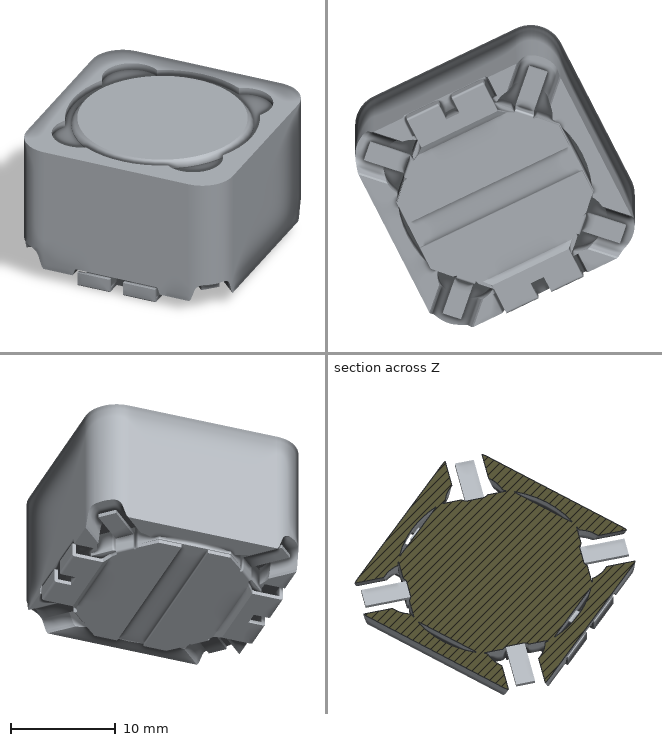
import cadquery as cq
import math

width = 21.52
half_width = width / 2
top_z = 13.82
corner_radius = 3.18

sheet = 0.37
base_bottom_z = 2 * sheet
body_bottom_z = 1.03

recess_radius = 9.3
recess_depth = 0.7
lobe_offset = 5.83
lobe_radius = 2.86
drum_radius = 8.72
drum_bevel_width = 0.58
drum_bevel_height = 0.65

arch_top_z = 2.93
arch_flare_z = 1.27
arch_mouth_half_width = 2.22
arch_foot_half_width = 2.09
arch_crown_half_width = 1.61
arch_fillet = 0.86

base_half_width = 8.7
base_side_y = 3.65
shoulder_long = 7.1
shoulder_short = 5.25

notch_top_z = 1.76
notch_top_half_width = 4.3
notch_mouth_half_width = 4.56
notch_fillet = 0.2

tab_height = 1.45
tab_outer_x = 4.07
tab_inner_x = 0.7
bend_radius = 0.22
foot_inner_y = 7.62
joggle_inner_y = 7.0
joggle_half_width = 4.73
sheet_end_y = 1.35
sheet_half_width = 8.6
arm_width = 1.85
arm_rise = 8.87
arm_reach = 12.9
arm_bottom_z = 1.92

arm_root_long = (arm_rise - sheet + arm_width / 2) / math.sqrt(2)
arm_root_short = (arm_rise - sheet - arm_width / 2) / math.sqrt(2)

CORNER_ANGLES = (45, 135, 225, 315)


def prism(outline, bottom_z, height):
    """Vertical prism on a closed XY outline."""
    return cq.Workplane("XY", origin=(0, 0, bottom_z)).polyline(outline).close().extrude(height)


def lobes(bottom_z, height):
    """The four round lobes around the drum core."""
    centres = [(sx * lobe_offset, sy * lobe_offset) for sx in (-1, 1) for sy in (-1, 1)]
    plane = cq.Workplane("XY", origin=(0, 0, bottom_z))
    return plane.pushPoints(centres).circle(lobe_radius).extrude(height)


def make_block():
    block = cq.Workplane("XY", origin=(0, 0, body_bottom_z)).rect(width, width)
    return block.extrude(top_z - body_bottom_z).edges("|Z").fillet(corner_radius)


def make_top_recess():
    """Clover-shaped recess that leaves the bevelled drum core standing."""
    floor_z = top_z - recess_depth
    recess = cq.Workplane("XY", origin=(0, 0, floor_z)).circle(recess_radius).extrude(recess_depth)
    drum = cq.Workplane("XY", origin=(0, 0, floor_z)).circle(drum_radius).extrude(recess_depth)
    drum = drum.faces(">Z").edges().chamfer(drum_bevel_height, drum_bevel_width)
    return recess.union(lobes(floor_z, recess_depth)).cut(drum)


def make_base():
    """Square base whose corners step back to 45 degree faces behind the arms."""
    quadrant = [
        (0, 0),
        (base_half_width, 0),
        (base_half_width, base_side_y),
        (shoulder_long, shoulder_short),
        (arm_root_long, arm_root_short),
        (arm_root_short, arm_root_long),
        (shoulder_short, shoulder_long),
        (base_side_y, base_half_width),
        (0, base_half_width),
    ]
    corner = prism(quadrant, base_bottom_z, arch_top_z - base_bottom_z)
    base = corner.union(corner.mirror("YZ"))
    return base.union(base.mirror("XZ"))


def make_lower_bore():
    """Arched tunnels along the diagonals, opening into the lower clover-shaped bore."""
    half_outline = [
        (arch_mouth_half_width, body_bottom_z),
        (arch_foot_half_width, arch_flare_z),
        (arch_crown_half_width, arch_top_z),
    ]
    outline = half_outline + [(-x, z) for x, z in reversed(half_outline)]
    start = lobe_offset * math.sqrt(2)
    arch = cq.Workplane("YZ", origin=(start, 0, 0)).polyline(outline).close().extrude(half_width)
    arch = arch.faces(">Z").edges("|X").fillet(arch_fillet)
    bore_depth = arch_top_z - body_bottom_z
    bore = cq.Workplane("XY", origin=(0, 0, body_bottom_z)).circle(recess_radius).extrude(bore_depth)
    bore = bore.union(lobes(body_bottom_z, bore_depth))
    for angle in CORNER_ANGLES:
        bore = bore.union(arch.rotate((0, 0, 0), (0, 0, 1), angle))
    return bore


def make_wall_notch():
    """Trapezoidal opening in the -Y wall, reaching in to the base."""
    outline = [
        (-notch_mouth_half_width, body_bottom_z),
        (-notch_top_half_width, notch_top_z),
        (notch_top_half_width, notch_top_z),
        (notch_mouth_half_width, body_bottom_z),
    ]
    notch = cq.Workplane("XZ", origin=(0, -base_half_width, 0)).polyline(outline).close()
    notch = notch.extrude(half_width - base_half_width)
    return notch.faces(">Z").edges("|Y").fillet(notch_fillet)


def make_terminal():
    """Bent sheet terminal on the -Y side: tabs, foot, joggle and raised sheet."""
    bent_profile = [
        (-half_width, 0),
        (-foot_inner_y, 0),
        (-joggle_inner_y, sheet),
        (-sheet_end_y, sheet),
        (-sheet_end_y, base_bottom_z),
        (-joggle_inner_y - sheet / 2, base_bottom_z),
        (-foot_inner_y - sheet / 2, sheet),
        (-half_width + sheet, sheet),
        (-half_width + sheet, tab_height),
        (-half_width, tab_height),
    ]
    side = cq.Workplane("YZ").polyline(bent_profile).close().extrude(sheet_half_width, both=True)
    side = side.edges("|X and <Y and <Z").fillet(bend_radius)

    half_plan = [
        (tab_outer_x, -half_width),
        (tab_outer_x, -foot_inner_y),
        (joggle_half_width, -joggle_inner_y),
        (arm_root_short, -arm_root_long),
        (arm_root_long, -arm_root_short),
        (shoulder_long, -shoulder_short),
        (sheet_half_width, -base_side_y),
        (sheet_half_width, -sheet_end_y),
    ]
    plan = half_plan + [(-x, y) for x, y in reversed(half_plan)]
    terminal = side.intersect(prism(plan, 0, tab_height))

    slit_length = half_width - base_half_width
    slit_centre_y = -(half_width + base_half_width) / 2
    slit = cq.Workplane("XY").center(0, slit_centre_y).rect(2 * tab_inner_x, slit_length)
    tongue = cq.Workplane("XY").center(0, -base_half_width - sheet / 2).rect(2 * tab_inner_x, sheet)
    return terminal.cut(slit.extrude(tab_height)).union(tongue.extrude(notch_top_z))


def make_corner_arm():
    """Bent strip along +X: root on the sheet, upright, then a flat tip through the arch."""
    arm_top_z = arm_bottom_z + sheet
    root = arm_rise - 2 * sheet
    bent_profile = [
        (root, sheet),
        (arm_rise, sheet),
        (arm_rise, arm_bottom_z),
        (arm_reach, arm_bottom_z),
        (arm_reach, arm_top_z),
        (arm_rise - sheet, arm_top_z),
        (arm_rise - sheet, base_bottom_z),
        (root, base_bottom_z),
    ]
    arm = cq.Workplane("XZ").polyline(bent_profile).close().extrude(arm_width / 2, both=True)
    outer_bend = cq.selectors.NearestToPointSelector((arm_rise, 0, sheet))
    return arm.edges("|Y").edges(outer_bend).fillet(bend_radius)


wall_notch = make_wall_notch()
terminal = make_terminal()
corner_arm = make_corner_arm()

result = make_block().cut(make_top_recess()).cut(make_lower_bore())
result = result.cut(wall_notch).cut(wall_notch.mirror("XZ"))
result = result.union(make_base()).union(terminal).union(terminal.mirror("XZ"))
for angle in CORNER_ANGLES:
    result = result.union(corner_arm.rotate((0, 0, 0), (0, 0, 1), angle))